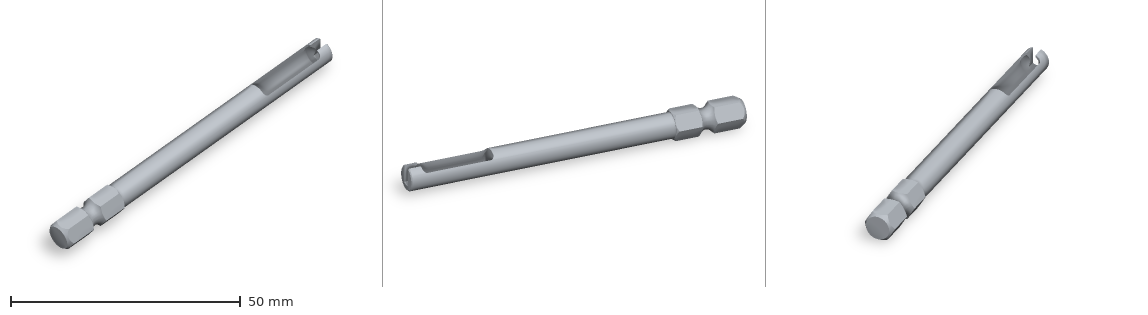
import cadquery as cq
import math

LENGTH = 80.0

HEX_FLATS = 6.3
HEX_CORNER_RADIUS = HEX_FLATS / math.sqrt(3)
HEX_LENGTH = 17.0
DRIVE_FACE_RADIUS = 2.8
DRIVE_CHAMFER_LENGTH = 1.3
SHOULDER_FACE_RADIUS = 3.1
SHOULDER_CHAMFER_LENGTH = HEX_CORNER_RADIUS - SHOULDER_FACE_RADIUS

GROOVE_CENTER = 9.1
GROOVE_NECK_RADIUS = 2.4
GROOVE_ARC_RADIUS = 2.0

SHAFT_RADIUS = 5.9 / 2
TIP_CHAMFER = 0.2

BORE_RADIUS = 2.5
WINDOW_START = 60.0
WINDOW_END = 77.0
WINDOW_CORNER_RADIUS = 0.9
NOTCH_WIDTH = 2.1
NOTCH_FLOOR_RADIUS = 1.7
CONE_LENGTH = 2.7


def revolve_about_y(points):
    """Solid of revolution from a closed (radius, y) outline."""
    return cq.Workplane("XY").polyline(points).close().revolve(360, (0, 0, 0), (0, 1, 0))


def hex_shank():
    """Hexagonal bar with flats at top and bottom, turned down at both ends and grooved."""
    bar = (
        cq.Workplane("XZ")
        .polygon(6, 2 * HEX_CORNER_RADIUS)
        .extrude(-HEX_LENGTH)
    )
    turned_envelope = revolve_about_y([
        (0, 0),
        (DRIVE_FACE_RADIUS, 0),
        (HEX_CORNER_RADIUS, DRIVE_CHAMFER_LENGTH),
        (HEX_CORNER_RADIUS, HEX_LENGTH - SHOULDER_CHAMFER_LENGTH),
        (SHOULDER_FACE_RADIUS, HEX_LENGTH),
        (0, HEX_LENGTH),
    ])
    ring_radius = GROOVE_NECK_RADIUS + GROOVE_ARC_RADIUS
    groove = (
        cq.Workplane("XY")
        .center(ring_radius, GROOVE_CENTER)
        .circle(GROOVE_ARC_RADIUS)
        .revolve(360, (-ring_radius, 0, 0), (-ring_radius, 1, 0))
    )
    return bar.intersect(turned_envelope).cut(groove)


def round_shaft():
    """Plain cylinder from the shank to the tip, with a small chamfer at the tip."""
    return (
        cq.Workplane("XZ", origin=(0, HEX_LENGTH, 0))
        .circle(SHAFT_RADIUS)
        .extrude(HEX_LENGTH - LENGTH)
        .faces(">Y")
        .chamfer(TIP_CHAMFER)
    )


def bore():
    """Bore under the window, flat at the shank end and ending in a cone at the tip."""
    return revolve_about_y([
        (0, WINDOW_START),
        (BORE_RADIUS, WINDOW_START),
        (BORE_RADIUS, WINDOW_END),
        (0, WINDOW_END + CONE_LENGTH),
    ])


def window():
    """Opening through the upper wall, as wide as the bore, with rounded corners."""
    return (
        cq.Workplane("XY", origin=(0, (WINDOW_START + WINDOW_END) / 2, 0))
        .rect(2 * BORE_RADIUS, WINDOW_END - WINDOW_START)
        .extrude(SHAFT_RADIUS)
        .edges("|Z")
        .fillet(WINDOW_CORNER_RADIUS)
    )


def tip_notch():
    """Narrow round-bottomed slot joining the window to the tip face."""
    half_width = NOTCH_WIDTH / 2
    wall_bottom = -math.sqrt(NOTCH_FLOOR_RADIUS**2 - half_width**2)
    return (
        cq.Workplane("XZ", origin=(0, WINDOW_END, 0))
        .moveTo(-half_width, SHAFT_RADIUS)
        .lineTo(-half_width, wall_bottom)
        .threePointArc((0, -NOTCH_FLOOR_RADIUS), (half_width, wall_bottom))
        .lineTo(half_width, SHAFT_RADIUS)
        .close()
        .extrude(WINDOW_END - LENGTH)
    )


result = (
    hex_shank()
    .union(round_shaft())
    .cut(bore())
    .cut(window())
    .cut(tip_notch())
)